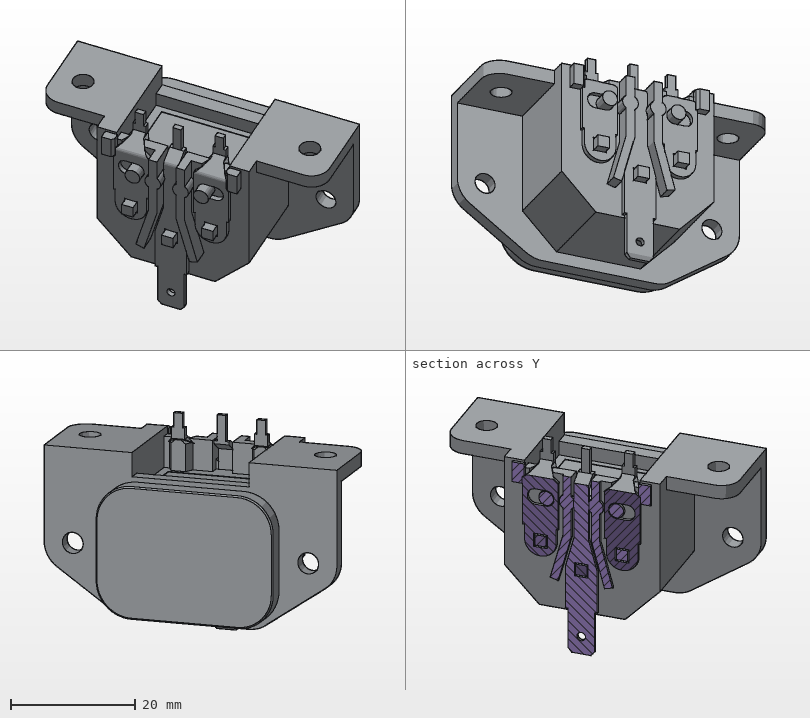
import cadquery as cq
import math


overall_depth = 23.6
overall_height = 36.27

flange_half_width = 24.88
flange_height = 27.75
flange_front = 17.87
plate_thickness = 2.4
flange_foot_half_width = 11.5
flange_side_height = 18.56
flange_corner_radius = 5.0
ear_length = 15.0
ear_corner_radius = 3.2
mount_hole_diameter = 3.5
mount_hole_x = 20.0
flange_hole_z = -15.9
ear_hole_setback = 8.7
ear_hole_y = flange_front - ear_hole_setback

nose_width = 30.1
nose_top = -4.85
nose_height = 22.1
nose_length = 3.15
nose_corner_radius = 6.0
nose_edge_chamfer = 0.25

body_half_width = 13.42
body_height = 25.65
body_side_height = 19.5
body_foot_half_width = 7.4
well_half_width = 9.95
well_floor = -6.5
flange_gap_floor = -4.03
panel_half_width = 8.49
panel_front = 14.42
panel_back = 3.93
panel_depth = 0.1
rear_wall_thickness = 1.76
rear_wall_top = -1.31
centre_slot_half_width = 1.7

sheet = 0.9
slope_angle = math.radians(30.5)
slope = math.tan(slope_angle)
slope_height_at_face = -2.02
tail_top = 3.19
tail_half_width = 0.73
side_x = 7.05
side_tail_face = 2.43
centre_tail_face = 1.47

side_half_width = 3.09
side_foot_half_width = 2.77
side_shoulder_z = -2.9
side_step_z = -11.37
side_neck_half_width = 1.14
side_neck_z = -1.1
side_collar_z = 0.79
flare_mid_half_width = 1.9
flare_mid_z = -1.85
side_pin_z = -13.87
adjust_slot_height = 2.7
adjust_slot_travel = 1.85

centre_half_width = 1.28
centre_shoulder_z = -1.15
centre_flare_top = -12.1
centre_wide_half_width = 2.77
centre_flare_bottom = -17.6
blade_top = -25.2
blade_half_width = 2.32
blade_tip = tail_top - overall_height
blade_tip_chamfer_height = 0.8
blade_tip_chamfer_width = 0.67
blade_tip_bevel = 0.12
blade_hole_z = -29.9
blade_hole_diameter = 1.4
centre_pin_z = -17.9

pin_size = 2.0
pin_hole_size = 2.3
pin_back = -2.28
pin_embedment = 4.0

back_end = flange_front + nose_length - overall_depth
post_x = 6.05
post_z = -6.0
post_diameter = 2.6
finger_x = 2.45
finger_width = 1.5
finger_bend_z = -12.25
finger_angle = 15.4
finger_leg = 8.6
bump_radius = 1.38
hook_inner = 9.8
hook_outer = 11.96
hook_top = -0.41
hook_bottom = -4.07
hook_depth = 1.53
hook_chamfer = 0.5
seat_half_width = 2.0
seat_rear_half_width = 1.2
support_rear = 3.2
support_chamfer = 0.6


def box(x0, x1, y0, y1, z0, z1):
    return cq.Workplane("XY").box(x1 - x0, y1 - y0, z1 - z0, centered=False).translate((x0, y0, z0))


def mirrored_outline(half):
    """Close a right-hand chain of (x, z) points with its reflection about X = 0."""
    return half + [(-x, z) for x, z in reversed(half)]


def prism_along_y(points, y0, y1):
    return cq.Workplane("XZ", origin=(0, y1, 0)).polyline(points).close().extrude(y1 - y0)


def rod_along_y(x, z, diameter, y0, y1):
    return cq.Workplane("XZ", origin=(x, y1, z)).circle(diameter / 2).extrude(y1 - y0)


def square_bar(x, z, size, y0, y1):
    return cq.Workplane("XZ", origin=(x, y1, z)).rect(size, size).extrude(y1 - y0)


def both_sides(solid):
    return solid.union(solid.mirror("YZ"))


def slope_z(y):
    return slope_height_at_face + slope * y


def bent_strip(tail_face, half_width):
    """Sheet that rises up the terminal face, leans inward over the wall and turns up into the tail."""
    drop = sheet / math.cos(slope_angle)
    side_profile = [
        (-sheet, blade_tip + blade_tip_chamfer_height),
        (blade_tip_bevel - sheet, blade_tip),
        (-blade_tip_bevel, blade_tip),
        (0, blade_tip + blade_tip_chamfer_height),
        (0, slope_z(0) - drop),
        (tail_face + sheet, slope_z(tail_face + sheet) - drop),
        (tail_face + sheet, tail_top),
        (tail_face, tail_top),
        (tail_face, slope_z(tail_face)),
        (-sheet, slope_z(-sheet)),
    ]
    strip = cq.Workplane("YZ").polyline(side_profile).close().extrude(half_width, both=True)
    lower_bend = cq.selectors.NearestToPointSelector((0, -sheet, slope_z(-sheet)))
    return strip.edges("|X").edges(lower_bend).fillet(sheet)


def side_terminal():
    outline = (
        cq.Workplane("XZ", origin=(0, side_tail_face + 2 * sheet, 0))
        .moveTo(-side_foot_half_width, side_pin_z)
        .threePointArc((0, side_pin_z - side_foot_half_width), (side_foot_half_width, side_pin_z))
        .lineTo(side_foot_half_width, side_step_z)
        .lineTo(side_half_width, side_step_z)
        .lineTo(side_half_width, side_shoulder_z)
        .threePointArc((flare_mid_half_width, flare_mid_z), (side_neck_half_width, side_neck_z))
        .lineTo(side_neck_half_width, side_collar_z)
        .lineTo(tail_half_width, side_collar_z)
        .lineTo(tail_half_width, tail_top)
        .lineTo(-tail_half_width, tail_top)
        .lineTo(-tail_half_width, side_collar_z)
        .lineTo(-side_neck_half_width, side_collar_z)
        .lineTo(-side_neck_half_width, side_neck_z)
        .threePointArc((-flare_mid_half_width, flare_mid_z), (-side_half_width, side_shoulder_z))
        .lineTo(-side_half_width, side_step_z)
        .lineTo(-side_foot_half_width, side_step_z)
        .close()
        .extrude(side_tail_face + 4 * sheet)
    )
    slot_centre = side_x - post_x - adjust_slot_travel / 2
    adjust_slot = (
        cq.Workplane("XZ", origin=(slot_centre, 0, post_z))
        .slot2D(adjust_slot_height + adjust_slot_travel, adjust_slot_height)
        .extrude(sheet)
    )
    return (
        bent_strip(side_tail_face, side_half_width)
        .intersect(outline)
        .cut(adjust_slot)
        .cut(square_bar(0, side_pin_z, pin_hole_size, -sheet, 0))
        .translate((-side_x, 0, 0))
    )


def centre_terminal():
    outline = prism_along_y(mirrored_outline([
        (blade_half_width - blade_tip_chamfer_width, blade_tip),
        (blade_half_width, blade_tip + blade_tip_chamfer_height),
        (blade_half_width, blade_top),
        (centre_wide_half_width, blade_top),
        (centre_wide_half_width, centre_flare_bottom),
        (centre_half_width, centre_flare_top),
        (centre_half_width, centre_shoulder_z),
        (tail_half_width, centre_shoulder_z),
        (tail_half_width, tail_top),
    ]), -sheet, centre_tail_face + sheet)
    return (
        bent_strip(centre_tail_face, centre_wide_half_width)
        .intersect(outline)
        .cut(rod_along_y(0, blade_hole_z, blade_hole_diameter, -sheet, 0))
        .cut(square_bar(0, centre_pin_z, pin_hole_size, -sheet, 0))
    )


def contact_pin(x, z):
    return square_bar(x, z, pin_size, pin_back, pin_embedment)


def flange():
    plate = prism_along_y(mirrored_outline([
        (flange_foot_half_width, -flange_height),
        (flange_half_width, -flange_side_height),
        (flange_half_width, 0),
    ]), flange_front - plate_thickness, flange_front)
    below_ears = cq.selectors.BoxSelector(
        (-2 * flange_half_width, 0, -2 * flange_height),
        (2 * flange_half_width, flange_front, -plate_thickness),
    )
    plate = plate.edges("|Y").edges(below_ears).fillet(flange_corner_radius)
    for x in (-mount_hole_x, mount_hole_x):
        hole = rod_along_y(x, flange_hole_z, mount_hole_diameter, flange_front - plate_thickness, flange_front)
        plate = plate.cut(hole)
    return plate


def ears():
    ear_back = flange_front - ear_length
    return (
        box(-flange_half_width, flange_half_width, ear_back, flange_front, -plate_thickness, 0)
        .edges("|Z and <Y").fillet(ear_corner_radius)
        .faces(">Z").workplane(origin=(0, ear_hole_y, 0))
        .pushPoints([(-mount_hole_x, 0), (mount_hole_x, 0)])
        .hole(mount_hole_diameter)
    )


def nose():
    return (
        box(-nose_width / 2, nose_width / 2, flange_front, flange_front + nose_length,
            nose_top - nose_height, nose_top)
        .edges("|Y").fillet(nose_corner_radius)
        .faces(">Y").chamfer(nose_edge_chamfer)
    )


def body():
    return prism_along_y(mirrored_outline([
        (body_foot_half_width, -body_height),
        (body_half_width, -body_side_height),
        (body_half_width, 0),
    ]), 0, flange_front)


def well():
    """Open space between the ears, bounded by the flange, the rear wall and a shallow floor panel."""
    flange_back = flange_front - plate_thickness
    half = well_half_width
    slot = centre_slot_half_width
    main = box(-half, half, rear_wall_thickness, flange_back, well_floor, 0)
    over_flange = box(-half, half, flange_back, flange_front, flange_gap_floor, 0)
    over_wall = box(-half, half, 0, rear_wall_thickness, rear_wall_top, 0)
    centre_slot = box(-slot, slot, 0, rear_wall_thickness, well_floor, 0)
    panel = box(-panel_half_width, panel_half_width, panel_back, panel_front, well_floor - panel_depth, well_floor)
    return main.union(over_flange).union(over_wall).union(centre_slot).union(panel)


def neck_support():
    """Tapered block behind the rear wall that carries the neck of the left terminal."""
    return (
        cq.Workplane("XY", origin=(-side_x, 0, well_floor))
        .polyline([
            (-seat_half_width, rear_wall_thickness),
            (seat_half_width, rear_wall_thickness),
            (seat_rear_half_width, support_rear),
            (-seat_rear_half_width, support_rear),
        ])
        .close()
        .extrude(rear_wall_top - well_floor)
        .faces(">Z").edges("not |X").chamfer(support_chamfer)
    )


def neck_seat():
    """Converging notch across the rear wall whose floor follows the underside of the left terminal's neck."""
    notch = (
        cq.Workplane("XY", origin=(-side_x, 0, well_floor))
        .polyline([
            (-seat_half_width, 0),
            (seat_half_width, 0),
            (seat_rear_half_width, rear_wall_thickness),
            (-seat_rear_half_width, rear_wall_thickness),
        ])
        .close()
        .extrude(-well_floor)
    )
    drop = sheet / math.cos(slope_angle)
    above_underside = (
        cq.Workplane("YZ", origin=(-side_x, 0, 0))
        .polyline([
            (0, slope_z(0) - drop),
            (rear_wall_thickness, slope_z(rear_wall_thickness) - drop),
            (rear_wall_thickness, 0),
            (0, 0),
        ])
        .close()
        .extrude(seat_half_width, both=True)
    )
    return notch.intersect(above_underside)


def latch_finger():
    """Left latch finger: an upright bar with a round bump and a leg that splays outward."""
    half = finger_width / 2
    upright = box(-finger_x - half, -finger_x + half, back_end, 0, finger_bend_z, rear_wall_top)
    leg = (
        box(-finger_width, 0, back_end, 0, -finger_leg, 0)
        .rotate((0, 0, 0), (0, 1, 0), finger_angle)
        .translate((-finger_x + half, 0, finger_bend_z))
    )
    elbow = (
        cq.Workplane("XZ", origin=(-finger_x + half, 0, finger_bend_z))
        .lineTo(-finger_width, 0)
        .lineTo(-finger_width * math.cos(math.radians(finger_angle)),
                finger_width * math.sin(math.radians(finger_angle)))
        .close()
        .extrude(-back_end)
    )
    bump = rod_along_y(-finger_x, post_z, 2 * bump_radius, back_end, 0)
    return upright.union(leg).union(elbow).union(bump)


def hook():
    """Left hook beside the upper edge of the side terminal."""
    return (
        box(-hook_outer, -hook_inner, -hook_depth, 0, hook_bottom, hook_top)
        .edges("|Z and >X and <Y").chamfer(hook_chamfer)
    )


def housing_blank():
    post = rod_along_y(-post_x, post_z, post_diameter, back_end, 0)
    face_details = latch_finger().union(hook()).union(post)
    return (
        body()
        .union(flange())
        .union(ears())
        .union(nose())
        .cut(well())
        .union(both_sides(neck_support()))
        .cut(both_sides(neck_seat()))
        .union(both_sides(face_details))
    )


left_terminal = side_terminal()
right_terminal = left_terminal.mirror("YZ")
earth_terminal = centre_terminal()
pin_places = [(-side_x, side_pin_z), (0, centre_pin_z), (side_x, side_pin_z)]
pins = [contact_pin(x, z) for x, z in pin_places]

housing = housing_blank()
for fitted_body in [left_terminal, right_terminal, earth_terminal, *pins]:
    housing = housing.cut(fitted_body)

result = cq.Compound.makeCompound([
    housing.val(),
    left_terminal.val(),
    right_terminal.val(),
    earth_terminal.val(),
    *[pin.val() for pin in pins],
])